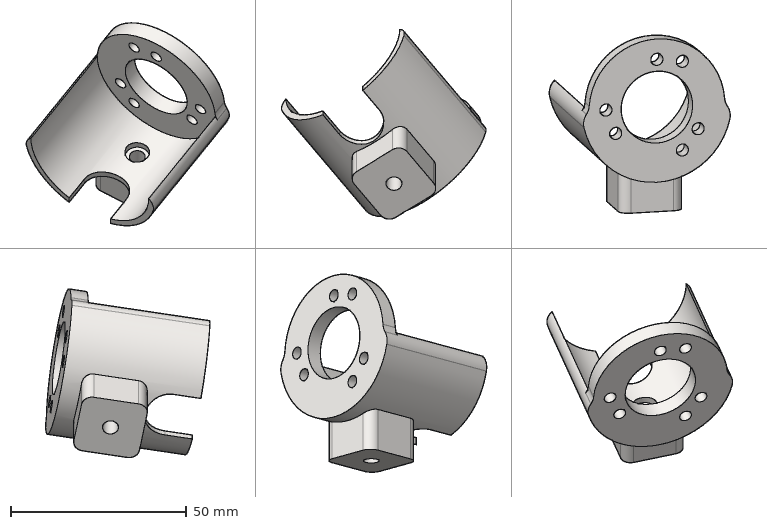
import cadquery as cq
import math

length = 40.0
plate_radius = 20.0
plate_thickness = 5.0
wall = 2.0
cradle_radius = plate_radius + wall
rim_radius = 5.0
blend_radius = 5.0

bore_diameter = 21.0
screw_diameter = 3.5
screw_patterns = [(14.0, 90), (15.0, 0)]
screws_per_pattern = 3

slot_width = 14.0
slot_depth = 15.0

stem_width = 18.6
stem_length = 19.0
stem_corner_radius = 3.0
stem_bottom = -32.0
stem_y = -15.0

bolt_diameter = 4.5
head_diameter = 7.0
head_seat_depth = wall


def polar(radius, angle):
    """Point (x, z) at a distance from the cradle axis, angle in radians."""
    return radius * math.cos(angle), radius * math.sin(angle)


def mirrored(point):
    return -point[0], point[1]


def between(start, end, distance):
    """Point at a distance from start, on the way to end."""
    fraction = distance / math.dist(start, end)
    return start[0] + fraction * (end[0] - start[0]), start[1] + fraction * (end[1] - start[1])


def angle_opposite(far_side, side_a, side_b):
    """Triangle angle between side_a and side_b (law of cosines)."""
    return math.acos((side_a**2 + side_b**2 - far_side**2) / (2 * side_a * side_b))


rim_center_distance = cradle_radius - rim_radius
rim_angle = -angle_opposite(rim_radius, rim_center_distance, plate_radius)
rim_center = polar(rim_center_distance, rim_angle)
rim_start = polar(cradle_radius, rim_angle)
rim_end = (plate_radius, 0.0)

blend_center_distance = plate_radius + blend_radius
blend_angle = rim_angle + angle_opposite(
    rim_radius + blend_radius, rim_center_distance, blend_center_distance
)
blend_center = polar(blend_center_distance, blend_angle)
blend_start = between(rim_center, blend_center, rim_radius)
blend_end = polar(plate_radius, blend_angle)


def arc_middle(center, radius, start, end):
    """Middle of the shorter arc from start to end about center."""
    chord_middle = ((start[0] + end[0]) / 2, (start[1] + end[1]) / 2)
    return between(center, chord_middle, radius)


def xz_plane():
    """XZ sketch plane at the back face; its normal points to -Y."""
    return cq.Workplane("XZ")


def make_cradle():
    rim_middle = arc_middle(rim_center, rim_radius, rim_start, rim_end)
    return (
        xz_plane()
        .moveTo(*rim_end)
        .threePointArc(rim_middle, rim_start)
        .threePointArc((0, -cradle_radius), mirrored(rim_start))
        .threePointArc(mirrored(rim_middle), mirrored(rim_end))
        .threePointArc((0, -plate_radius), rim_end)
        .close()
        .extrude(length)
    )


def make_plate():
    rim_middle = arc_middle(rim_center, rim_radius, rim_start, blend_start)
    blend_middle = arc_middle(blend_center, blend_radius, blend_start, blend_end)
    return (
        xz_plane()
        .moveTo(*blend_end)
        .threePointArc(blend_middle, blend_start)
        .threePointArc(rim_middle, rim_start)
        .threePointArc((0, -cradle_radius), mirrored(rim_start))
        .threePointArc(mirrored(rim_middle), mirrored(blend_start))
        .threePointArc(mirrored(blend_middle), mirrored(blend_end))
        .threePointArc((0, plate_radius), blend_end)
        .close()
        .extrude(plate_thickness)
    )


def make_plate_holes():
    holes = xz_plane().circle(bore_diameter / 2).extrude(plate_thickness)
    for circle_radius, first_angle in screw_patterns:
        screws = (
            xz_plane()
            .polarArray(circle_radius, first_angle, 360, screws_per_pattern)
            .circle(screw_diameter / 2)
            .extrude(plate_thickness)
        )
        holes = holes.union(screws)
    return holes


def make_stem():
    """Rounded block under the cradle, trimmed to the cradle's inside surface."""
    block = (
        cq.Workplane("XY", origin=(0, stem_y, stem_bottom))
        .rect(stem_width, stem_length)
        .extrude(-stem_bottom)
        .edges("|Z")
        .fillet(stem_corner_radius)
    )
    return block.cut(xz_plane().circle(plate_radius).extrude(length))


def make_vertical_cylinder(diameter, bottom):
    """Cylinder on the stem's axis, from bottom up to the level of the cradle axis."""
    return cq.Workplane("XY", origin=(0, stem_y, bottom)).circle(diameter / 2).extrude(-bottom)


def make_bolt_hole():
    seat_z = -plate_radius - head_seat_depth
    head = make_vertical_cylinder(head_diameter, seat_z)
    return make_vertical_cylinder(bolt_diameter, stem_bottom).union(head)


def make_slot():
    """Round-ended slot open at the front end of the cradle."""
    end_radius = slot_width / 2
    straight = slot_depth - end_radius
    return (
        cq.Workplane("XY", origin=(0, -length, -cradle_radius))
        .moveTo(-end_radius, 0)
        .lineTo(-end_radius, straight)
        .threePointArc((0, slot_depth), (end_radius, straight))
        .lineTo(end_radius, 0)
        .close()
        .extrude(cradle_radius)
    )


body = make_cradle().union(make_plate()).cut(make_slot()).union(make_stem())
result = body.cut(make_plate_holes()).cut(make_bolt_hole())